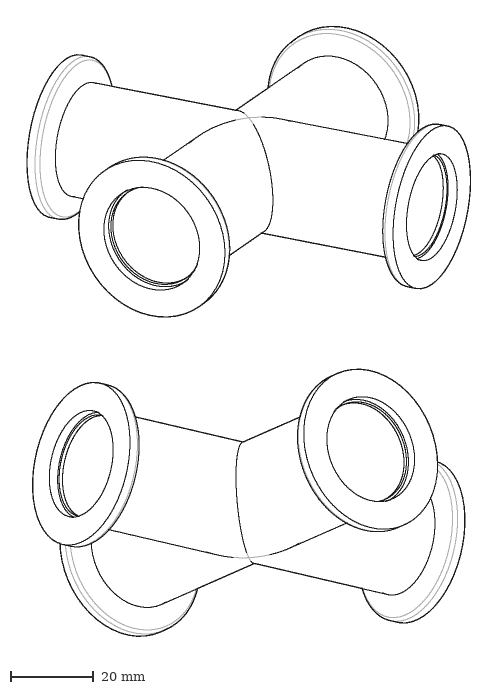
import cadquery as cq
import math

SPAN = 100.0
TUBE_DIAMETER = 28.0
TUBE_BORE = 25.0
FLANGE_DIAMETER = 40.0
RECESS_DIAMETER = 26.2
FLANGE_LENGTH = 4.6
CONE_ANGLE = 15.0
RIM_ROUND = 1.0
RECESS_DEPTH = 2.5
SOCKET_DEPTH = 3.5

TUBE_RADIUS = TUBE_DIAMETER / 2
FLANGE_RADIUS = FLANGE_DIAMETER / 2
RECESS_RADIUS = RECESS_DIAMETER / 2
BORE_RADIUS = TUBE_BORE / 2
FACE_DISTANCE = SPAN / 2
TUBE_LENGTH = SPAN - 2 * SOCKET_DEPTH
CONE_RISE = (FLANGE_RADIUS - TUBE_RADIUS) * math.tan(math.radians(CONE_ANGLE))
RIM_LENGTH = FLANGE_LENGTH - CONE_RISE

ARM_ANGLES = (0, 90, 180, 270)


def crossed_cylinders(diameter, length):
    """Two equal cylinders along X and Y, joined at the origin."""
    along_x = cq.Workplane("YZ").circle(diameter / 2).extrude(length / 2, both=True)
    along_y = cq.Workplane("XZ").circle(diameter / 2).extrude(length / 2, both=True)
    return along_x.union(along_y)


def make_cross_tube():
    """Four-way pipe cross, open at every end."""
    outside = crossed_cylinders(TUBE_DIAMETER, TUBE_LENGTH)
    return outside.cut(crossed_cylinders(TUBE_BORE, TUBE_LENGTH))


def make_flange(angle):
    """Tapered clamp flange on one arm, with a socket that receives the tube end."""
    cone_end = FACE_DISTANCE - FLANGE_LENGTH
    recess_floor = FACE_DISTANCE - RECESS_DEPTH
    socket_floor = FACE_DISTANCE - SOCKET_DEPTH
    blank = (
        cq.Workplane("XY")
        .moveTo(cone_end, TUBE_RADIUS)
        .lineTo(FACE_DISTANCE - RIM_LENGTH, FLANGE_RADIUS)
        .lineTo(FACE_DISTANCE, FLANGE_RADIUS)
        .lineTo(FACE_DISTANCE, RECESS_RADIUS)
        .lineTo(recess_floor, RECESS_RADIUS)
        .lineTo(recess_floor, BORE_RADIUS)
        .lineTo(socket_floor, BORE_RADIUS)
        .lineTo(socket_floor, TUBE_RADIUS)
        .close()
        .revolve(360, (0, 0, 0), (1, 0, 0))
    )
    rim_corner = (FACE_DISTANCE - RIM_LENGTH, 0, 0)
    rounded = blank.edges(cq.selectors.NearestToPointSelector(rim_corner)).fillet(RIM_ROUND)
    return rounded.rotate((0, 0, 0), (0, 0, 1), angle)


cross_tube = make_cross_tube()
flanges = [make_flange(angle) for angle in ARM_ANGLES]

result = cq.Compound.makeCompound([cross_tube.val(), *[flange.val() for flange in flanges]])